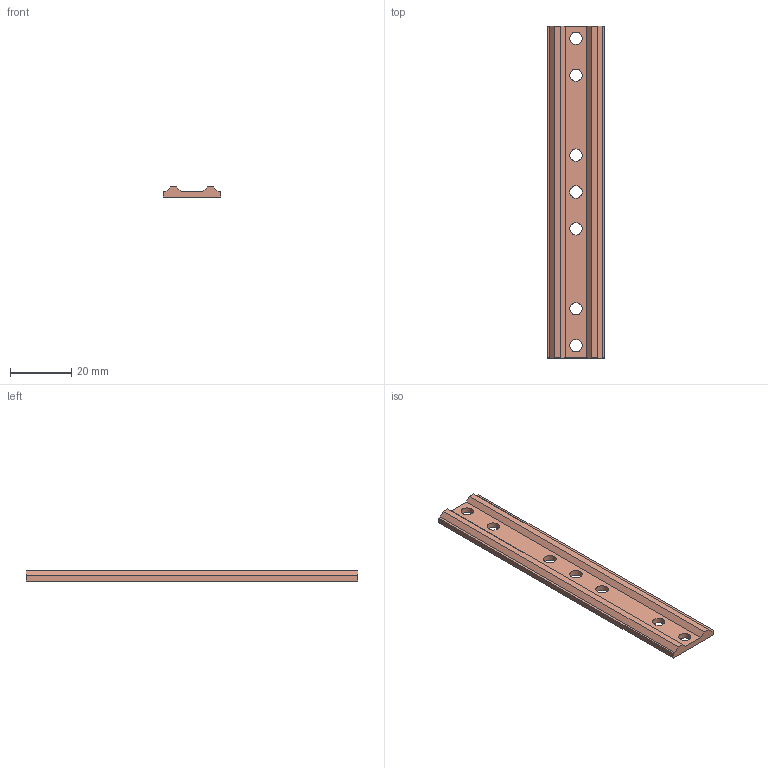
import cadquery as cq

WIDTH = 18.6
LENGTH = 108.0
HEIGHT = 3.3

BASE_THICKNESS = 1.8
RIDGE_SPACING = 12.0
RIDGE_TOP_WIDTH = 2.0
FLANK_RUN = HEIGHT - BASE_THICKNESS

HOLE_DIAMETER = 4.0
HOLE_OFFSETS = (12.0, 38.0, 50.0)


def make_base():
    """Flat bar, centred in X and Y, with its underside on Z = 0."""
    return cq.Workplane("XY").box(WIDTH, LENGTH, BASE_THICKNESS, centered=(True, True, False))


def make_ridge(center_x):
    """Trapezoidal ridge running the full length of the base."""
    half_top = RIDGE_TOP_WIDTH / 2
    half_foot = half_top + FLANK_RUN
    return (
        cq.Workplane("XZ", origin=(center_x, 0, 0))
        .moveTo(-half_foot, BASE_THICKNESS)
        .lineTo(-half_top, HEIGHT)
        .lineTo(half_top, HEIGHT)
        .lineTo(half_foot, BASE_THICKNESS)
        .close()
        .extrude(LENGTH / 2, both=True)
    )


def make_holes():
    """Cutting cylinders: one at the middle and a mirrored pair for each offset."""
    positions = [(0, 0)]
    for offset in HOLE_OFFSETS:
        positions.append((0, -offset))
        positions.append((0, offset))
    return cq.Workplane("XY").pushPoints(positions).circle(HOLE_DIAMETER / 2).extrude(HEIGHT)


rail = make_base()
for side in (-1, 1):
    rail = rail.union(make_ridge(side * RIDGE_SPACING / 2))

result = rail.cut(make_holes())